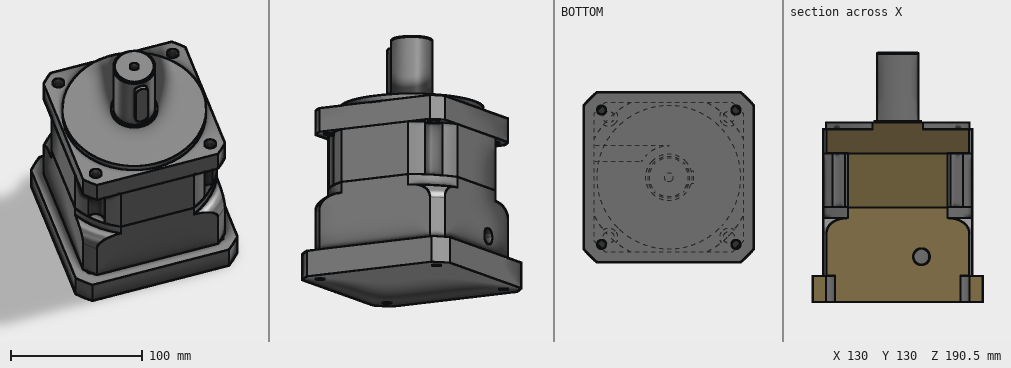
import cadquery as cq
import math


mount_plate_top = 20.0
corner_round_bottom = 52.8
corner_round_top = 64.2
rear_housing_top = 72.4
ring_gear_top = 113.5
output_flange_top = 132.0
pilot_top = 137.2
collar_top = 138.3
shaft_top = 190.5

mount_plate_width = 130.0
mount_plate_corner_radius = 85.0
body_width = 114.0
body_corner_radius = 74.9
waist_corner_radius = 64.0

flange_hole_offset = 46.0
flange_hole_diameter = 8.8
waist_groove_radius = 7.0
mount_hole_offset = 51.2
mount_hole_diameter = 6.7

access_hole_diameter = 12.4
access_hole_y = -18.1
access_hole_z = 34.7
hub_radius = 24.0

pilot_diameter = 109.7
collar_diameter = 35.5
shaft_diameter = 32.0
shaft_chamfer = 1.1
centre_hole_diameter = 6.9
centre_hole_depth = 19.0
drill_point_angle = 90

key_width = 10.0
key_length = 40.0
key_bottom = 145.5
key_inner_x = 8.0
key_outer_x = 19.0


def trimmed_square(width, corner_radius, bottom, top):
    """Square prism with its four corners trimmed to a cylinder on the Z axis."""
    height = top - bottom
    square = cq.Workplane("XY", origin=(0, 0, bottom)).rect(width, width).extrude(height)
    trim = cq.Workplane("XY", origin=(0, 0, bottom)).circle(corner_radius).extrude(height)
    return square.intersect(trim)


def disc(diameter, bottom, top):
    return cq.Workplane("XY", origin=(0, 0, bottom)).circle(diameter / 2).extrude(top - bottom)


def corner_pins(offset, diameter, bottom, top):
    """Four cylinders at the corners of a square, used to cut holes and grooves."""
    return (
        cq.Workplane("XY", origin=(0, 0, bottom))
        .rect(2 * offset, 2 * offset, forConstruction=True)
        .vertices()
        .circle(diameter / 2)
        .extrude(top - bottom)
    )


def rounded_trim():
    """Turned envelope of the rear housing, with a convex round from its corners to the waist."""
    radial_run = body_corner_radius - waist_corner_radius
    rise = corner_round_top - corner_round_bottom
    diagonal = math.sqrt(0.5)
    arc_middle = (waist_corner_radius + radial_run * diagonal, corner_round_bottom + rise * diagonal)
    return (
        cq.Workplane("XZ")
        .moveTo(0, mount_plate_top)
        .lineTo(body_corner_radius, mount_plate_top)
        .lineTo(body_corner_radius, corner_round_bottom)
        .threePointArc(arc_middle, (waist_corner_radius, corner_round_top))
        .lineTo(waist_corner_radius, rear_housing_top)
        .lineTo(0, rear_housing_top)
        .close()
        .revolve(360, (0, 0, 0), (0, 1, 0))
    )


def access_hole_cut():
    """Hole from the -X face, ending on the round surface of the hub."""
    bore = (
        cq.Workplane("YZ", origin=(-body_width / 2, access_hole_y, access_hole_z))
        .circle(access_hole_diameter / 2)
        .extrude(body_width / 2)
    )
    return bore.cut(disc(2 * hub_radius, mount_plate_top, corner_round_bottom))


def make_rear_housing():
    plate = trimmed_square(mount_plate_width, mount_plate_corner_radius, 0, mount_plate_top)
    plate = plate.cut(corner_pins(mount_hole_offset, mount_hole_diameter, 0, mount_plate_top))
    block = (
        cq.Workplane("XY", origin=(0, 0, mount_plate_top))
        .rect(body_width, body_width)
        .extrude(rear_housing_top - mount_plate_top)
        .intersect(rounded_trim())
    )
    return plate.union(block).cut(access_hole_cut())


def make_ring_gear():
    """Middle section, grooved at its corners below the flange holes."""
    ring = trimmed_square(body_width, waist_corner_radius, rear_housing_top, ring_gear_top)
    grooves = corner_pins(flange_hole_offset, 2 * waist_groove_radius, rear_housing_top, ring_gear_top)
    return ring.cut(grooves)


def make_shaft():
    shaft = disc(shaft_diameter, output_flange_top, shaft_top).faces(">Z").chamfer(shaft_chamfer)
    hole_bottom = shaft_top - centre_hole_depth
    hole_radius = centre_hole_diameter / 2
    point_depth = hole_radius / math.tan(math.radians(drill_point_angle / 2))
    drill_point = cq.Solid.makeCone(
        hole_radius, 0, point_depth, pnt=cq.Vector(0, 0, hole_bottom), dir=cq.Vector(0, 0, -1)
    )
    return shaft.cut(disc(centre_hole_diameter, hole_bottom, shaft_top)).cut(cq.Workplane(drill_point))


def make_key():
    """Key standing out of the +X side of the shaft, rooted inside it."""
    return (
        cq.Workplane("YZ", origin=(key_inner_x, 0, key_bottom + key_length / 2))
        .slot2D(key_length, key_width, 90)
        .extrude(key_outer_x - key_inner_x)
    )


def make_output_head():
    flange = trimmed_square(body_width, body_corner_radius, ring_gear_top, output_flange_top)
    flange = flange.cut(
        corner_pins(flange_hole_offset, flange_hole_diameter, ring_gear_top, output_flange_top)
    )
    pilot = disc(pilot_diameter, output_flange_top, pilot_top)
    collar = disc(collar_diameter, pilot_top, collar_top)
    return flange.union(pilot).union(collar).union(make_shaft()).union(make_key())


rear_housing = make_rear_housing()
ring_gear = make_ring_gear()
output_head = make_output_head()

result = cq.Compound.makeCompound([rear_housing.val(), ring_gear.val(), output_head.val()])